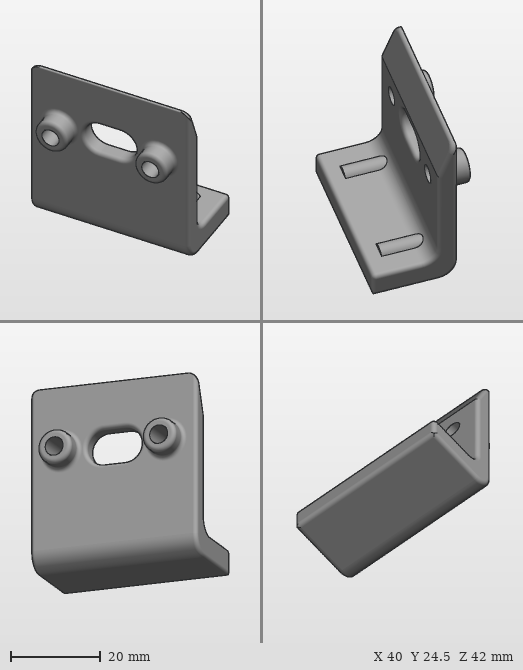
import cadquery as cq

width = 40.0
height = 42.0
foot_depth = 20.0
foot_thickness = 6.0
wall_thickness = 4.5
tip_thickness = 1.0
bevel_start = 33.1
inner_bend_radius = 3.75
outer_bend_radius = wall_thickness
edge_radius = 1.0
tip_edge_radius = 0.3
corner_radius = 2.48

feature_height = 27.0
feature_offset = 12.5
boss_diameter = 8.0
boss_length = 4.5
hole_diameter = 4.3
slot_length = 12.98
slot_width = 8.0

rib_width = 4.0
rib_height = 1.0
rib_end = 16.0


def outer_block():
    """Solid behind the wall front and foot underside, with their side edges rounded."""
    block = cq.Workplane("XY").box(width, foot_depth, height, centered=(True, False, False))
    block = block.edges("<Y and <Z").fillet(outer_bend_radius)
    front_and_bottom = block.faces("<Y").edges("|Z").add(block.faces("<Z").edges("|Y"))
    bends = block.edges("%CIRCLE")
    block = front_and_bottom.add(bends).fillet(edge_radius)
    front_lip = cq.selectors.NearestToPointSelector((0, 0, height))
    return block.edges(front_lip).fillet(tip_edge_radius)


def inner_block():
    """Solid in front of the rear outline, with its corners and edges rounded."""
    overhang = foot_depth
    block = (
        cq.Workplane("YZ")
        .moveTo(-overhang, 0)
        .lineTo(foot_depth, 0)
        .lineTo(foot_depth, foot_thickness)
        .lineTo(wall_thickness, foot_thickness)
        .lineTo(wall_thickness, bevel_start)
        .lineTo(tip_thickness, height)
        .lineTo(-overhang, height)
        .close()
        .extrude(width / 2, both=True)
    )
    inner_corner = cq.selectors.NearestToPointSelector((0, wall_thickness, foot_thickness))
    block = block.edges(inner_corner).fillet(inner_bend_radius)
    block = block.edges("|Y and >Z").fillet(corner_radius)
    rear_zone = cq.selectors.BoxSelector(
        (-width, edge_radius / 2, -height),
        (width, 2 * foot_depth, 2 * height),
    )
    rear_edges = block.edges(rear_zone - cq.selectors.ParallelDirSelector(cq.Vector(1, 0, 0)))
    cross_edges = block.faces(">Y").edges("|X").add(block.edges("|X and >Z").edges(">Y"))
    return rear_edges.add(cross_edges).fillet(edge_radius)


def add_ribs(body):
    """Circular-segment ribs that end flat on the foot and vanish into the bend."""
    rib_radius = ((rib_width / 2) ** 2 + rib_height**2) / (2 * rib_height)
    axis_height = foot_thickness + rib_height - rib_radius
    rib_start = wall_thickness / 2
    ribs = (
        cq.Workplane("XZ", origin=(0, rib_start, axis_height))
        .pushPoints([(-feature_offset, 0), (feature_offset, 0)])
        .circle(rib_radius)
        .extrude(rib_start - rib_end)
    )
    return body.union(ribs)


def add_bosses(body):
    """Round bosses with a flared root and a rounded tip, each bored through the wall."""
    boss_radius = boss_diameter / 2
    profile = (
        cq.Workplane("XY")
        .moveTo(0, edge_radius)
        .lineTo(boss_radius + edge_radius, edge_radius)
        .lineTo(boss_radius + edge_radius, 0)
        .radiusArc((boss_radius, -edge_radius), -edge_radius)
        .lineTo(boss_radius, edge_radius - boss_length)
        .radiusArc((boss_radius - edge_radius, -boss_length), edge_radius)
        .lineTo(0, -boss_length)
        .close()
    )
    boss = profile.revolve(360, (0, 0, 0), (0, 1, 0))
    bore = cq.Workplane("XZ", origin=(0, -boss_length, 0)).circle(hole_diameter / 2)
    bore = bore.extrude(-boss_length - wall_thickness)
    for x in (-feature_offset, feature_offset):
        place = (x, 0, feature_height)
        body = body.union(boss.translate(place)).cut(bore.translate(place))
    return body


def cut_slot(body):
    """Horizontal slot through the wall, rounded where it opens at both faces."""
    slot = (
        cq.Workplane("XZ", origin=(0, 0, feature_height))
        .slot2D(slot_length, slot_width)
        .extrude(-wall_thickness)
    )
    body = body.cut(slot)
    half_zone = slot_width / 2 + edge_radius
    slot_zone = cq.selectors.BoxSelector(
        (-slot_length, -edge_radius, feature_height - half_zone),
        (slot_length, wall_thickness + edge_radius, feature_height + half_zone),
    )
    rims = slot_zone - cq.selectors.ParallelDirSelector(cq.Vector(0, 1, 0))
    return body.edges(rims).fillet(edge_radius)


body = outer_block().intersect(inner_block())
result = add_bosses(add_ribs(cut_slot(body)))